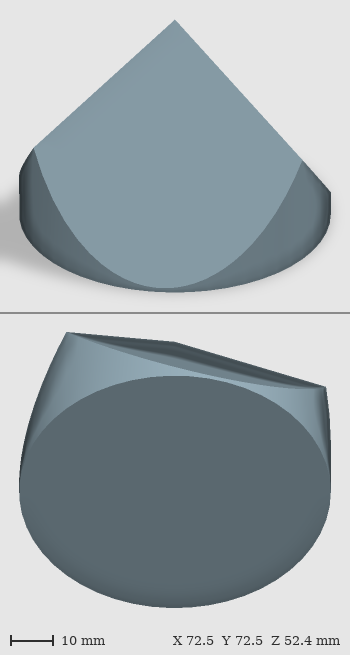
import cadquery as cq
import math

diameter = 72.5
rim_height = 1.1

radius = diameter / 2
face_slope = math.sqrt(2)
apex_height = rim_height + radius * face_slope
cube_side = 2 * diameter


def corner_cube():
    """Cube with its top corner on the Z axis and one upper edge running toward +X."""
    diagonal_tilt = math.degrees(math.atan(face_slope))
    cube = cq.Workplane("XY").box(cube_side, cube_side, cube_side)
    cube = cube.translate((-cube_side / 2, -cube_side / 2, -cube_side / 2))
    cube = cube.rotate((0, 0, 0), (0, 0, 1), -45)
    cube = cube.rotate((0, 0, 0), (0, 1, 0), -diagonal_tilt)
    return cube.translate((0, 0, apex_height))


bar = cq.Workplane("XY").circle(radius).extrude(apex_height)
result = bar.intersect(corner_cube())